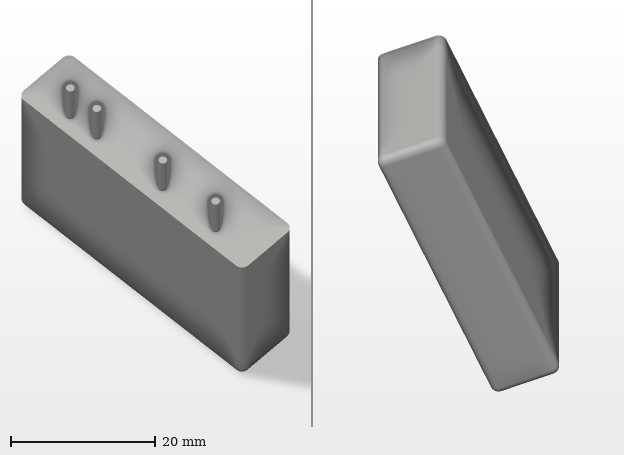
import cadquery as cq

housing_length = 43.2
housing_width = 10.2
housing_height = 25.4
edge_radius = 1.2

pin_diameter = 1.2
pin_height = 6.5
pin_pitch = 2.54
pin_row_y = -2.5
pin_steps = [-5.5, -3.5, 1.5, 5.5]


def make_housing():
    block = cq.Workplane("XY").box(
        housing_length, housing_width, housing_height, centered=(True, True, False)
    )
    return block.edges("|Z or <Z").fillet(edge_radius)


def make_pin(x):
    return (
        cq.Workplane("XY", origin=(x, pin_row_y, housing_height))
        .circle(pin_diameter / 2)
        .extrude(pin_height)
    )


housing = make_housing()
pins = [make_pin(step * pin_pitch) for step in pin_steps]

result = cq.Compound.makeCompound([housing.val(), *[pin.val() for pin in pins]])